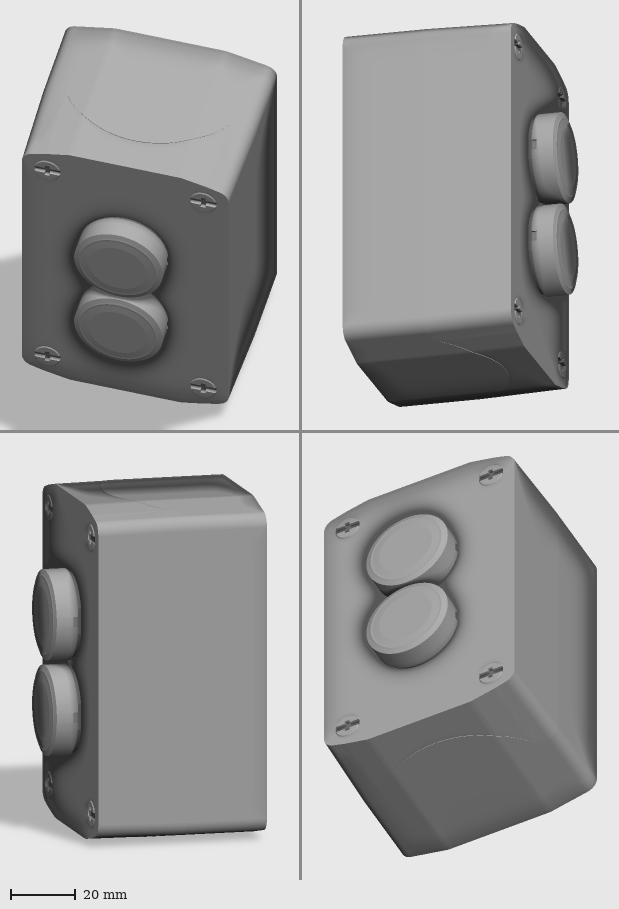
import cadquery as cq
import math


TOLERANCE = 0.01

HALF_WIDTH = 34.0
HALF_HEIGHT = 53.0
FLAT_HALF_WIDTH = 17.8
FACET_BREAK_X = 25.9
END_SLOPE = math.tan(math.radians(12.5))
CORNER_RADIUS = 4.2
BLEND_RADIUS = 7.4
SEAM_DEPTH = 26.0
FRONT_DEPTH = 53.8
SIDE_TAPER = 0.8
END_TAPER = 0.3

TONGUE_RADIUS = 30.0
TONGUE_TIP_DEPTH = 43.0
TONGUE_ROOT_RADIUS = 1.1

BUTTON_SPACING = 30.1
BUTTON_HEIGHTS = (-BUTTON_SPACING / 2, BUTTON_SPACING / 2)
COLLAR_RADIUS = 13.5
COLLAR_FLAT_X = 12.8
BEZEL_RADIUS = 14.2
BEZEL_BACK_DEPTH = 55.1
BEZEL_EDGE_DEPTH = 62.0
BEZEL_RIM_DEPTH = 62.5
NOTCH_WIDTH = 3.2
NOTCH_DEPTH = 1.6
NOTCH_RECESS = 0.8
CAP_RADIUS = 12.8
CAP_BACK_DEPTH = 59.4
CAP_SHOULDER_RADIUS = 12.4
CAP_SHOULDER_DEPTH = 62.8
CAP_DOME_RADIUS = 11.8
CAP_FLAT_RADIUS = 9.2
CAP_FRONT_DEPTH = 63.1

DIP_WIDTH = 5.1
DIP_DEPTH = 0.7
DIP_TILT = 10.0

SCREW_X = 25.0
SCREW_Z = 43.6
SCREW_CENTERS = [(x, z) for x in (-SCREW_X, SCREW_X) for z in (-SCREW_Z, SCREW_Z)]
SCREW_RADIUS = 4.2
SCREW_PROUD = 0.3
SCREW_SINK = 2.1
SCREW_SEAT_DEPTH = FRONT_DEPTH - SCREW_SINK
SLOT_WIDTH = 2.2
SLOT_DEPTH = 1.3
CROSS_LENGTH = 4.2
CROSS_WIDTH = 1.6


def face_plane(depth):
    """Workplane facing -Y, at the given distance in front of the back face."""
    return cq.Workplane("XZ", origin=(0, -depth, 0))


def disc(x, z, radius, back, front):
    """Round disc along Y between two depths."""
    return face_plane(back).center(x, z).circle(radius).extrude(front - back)


def enclosure_outline(depth, side_taper, end_taper):
    """Cross-section of the enclosure, drawn in by the given amounts."""
    corner_x = HALF_WIDTH - side_taper
    break_drop = (FACET_BREAK_X - FLAT_HALF_WIDTH) * END_SLOPE
    corner_drop = (corner_x - FLAT_HALF_WIDTH) * END_SLOPE
    flat_z = HALF_HEIGHT - end_taper
    break_z = flat_z - break_drop
    corner_z = HALF_HEIGHT - side_taper - corner_drop
    quarter = [(FLAT_HALF_WIDTH, flat_z), (FACET_BREAK_X, break_z), (corner_x, corner_z)]
    right = quarter + [(x, -z) for x, z in reversed(quarter)]
    left = [(-x, z) for x, z in reversed(right)]
    points = [cq.Vector(x, -depth, z) for x, z in right + left]
    wire = cq.Wire.makePolygon(points, close=True)

    def vertices_at(half_x):
        return [v for v in wire.Vertices() if abs(abs(v.X) - half_x) < TOLERANCE]

    wire = wire.fillet2D(CORNER_RADIUS, vertices_at(corner_x))
    return wire.fillet2D(BLEND_RADIUS, vertices_at(FLAT_HALF_WIDTH))


def cover_zone():
    """Block in front of the seam: everything in it belongs to the cover."""
    block = cq.Workplane("XY").box(3 * HALF_WIDTH, FRONT_DEPTH, 3 * HALF_HEIGHT)
    block = block.translate((0, -SEAM_DEPTH - FRONT_DEPTH / 2, 0))
    tongue_center_depth = TONGUE_TIP_DEPTH - TONGUE_RADIUS
    tongue = (
        cq.Workplane("XY").center(0, -tongue_center_depth)
        .circle(TONGUE_RADIUS).extrude(1.5 * HALF_HEIGHT, both=True)
    )
    zone = block.cut(tongue)

    def is_tongue_root(edge):
        middle = edge.Center()
        return abs(middle.x) < TONGUE_RADIUS and abs(middle.y + SEAM_DEPTH) < TOLERANCE

    return zone.edges("|Z").filter(is_tongue_root).fillet(TONGUE_ROOT_RADIUS)


def tapered_front():
    """Front of the enclosure, from the seam to the cover face, with its taper."""
    seam_outline = enclosure_outline(SEAM_DEPTH, 0, 0)
    front_outline = enclosure_outline(FRONT_DEPTH, SIDE_TAPER, END_TAPER)
    return cq.Workplane(cq.Solid.makeLoft([seam_outline, front_outline], True))


def make_base():
    back_outline = enclosure_outline(0, 0, 0)
    block = cq.Solid.extrudeLinear(back_outline, [], cq.Vector(0, -FRONT_DEPTH, 0))
    return cq.Workplane(block).cut(cover_zone())


def half_dip(side):
    """One half of the dip between the buttons; side is +1 above, -1 below."""
    radius = (DIP_WIDTH**2 / 4 + DIP_DEPTH**2) / (2 * DIP_DEPTH)
    length = BUTTON_SPACING / 2 - COLLAR_RADIUS
    axis_depth = FRONT_DEPTH - DIP_DEPTH + radius
    rod = cq.Workplane("XY").circle(radius).extrude(2 * length, both=True)
    rod = rod.rotate((0, 0, 0), (1, 0, 0), side * DIP_TILT)
    rod = rod.translate((0, -axis_depth, 0))
    keep = cq.Workplane("XY").box(4 * radius, 4 * FRONT_DEPTH, length)
    return rod.intersect(keep.translate((0, 0, side * length / 2)))


def make_cover():
    cover = tapered_front().intersect(cover_zone())
    for x, z in SCREW_CENTERS:
        cover = cover.cut(disc(x, z, SCREW_RADIUS, SCREW_SEAT_DEPTH, FRONT_DEPTH))
    for side in (-1, 1):
        cover = cover.cut(half_dip(side))
    return cover


def make_screw(x, z):
    """Screw head with a full-width slot and a short cross recess."""
    front = FRONT_DEPTH + SCREW_PROUD
    screw = disc(x, z, SCREW_RADIUS, SCREW_SEAT_DEPTH, front)
    screw = screw.faces("<Y").chamfer(SCREW_PROUD)
    floor = face_plane(front - SLOT_DEPTH).center(x, z)
    slot = floor.rect(2 * SCREW_RADIUS, SLOT_WIDTH).extrude(SLOT_DEPTH)
    cross = floor.rect(CROSS_WIDTH, CROSS_LENGTH).extrude(SLOT_DEPTH)
    return screw.cut(slot).cut(cross)


def revolve_about_button(profile, z):
    """Turn a (radius, depth) profile about the axis of the button at height z."""
    points = [(radius, -depth) for radius, depth in profile]
    turned = cq.Workplane("XY").polyline(points).close().revolve(360, (0, 0), (0, 1))
    return turned.translate((0, 0, z))


def make_cap(z):
    return revolve_about_button(
        [
            (0, CAP_BACK_DEPTH),
            (CAP_RADIUS, CAP_BACK_DEPTH),
            (CAP_RADIUS, BEZEL_RIM_DEPTH),
            (CAP_SHOULDER_RADIUS, CAP_SHOULDER_DEPTH),
            (CAP_DOME_RADIUS, CAP_SHOULDER_DEPTH),
            (CAP_FLAT_RADIUS, CAP_FRONT_DEPTH),
            (0, CAP_FRONT_DEPTH),
        ],
        z,
    )


def make_bezel(z):
    """Bezel on a flat-sided collar, with a recess for the cap."""
    ring = revolve_about_button(
        [
            (0, BEZEL_BACK_DEPTH),
            (BEZEL_RADIUS, BEZEL_BACK_DEPTH),
            (BEZEL_RADIUS, BEZEL_EDGE_DEPTH),
            (CAP_RADIUS, BEZEL_RIM_DEPTH),
            (CAP_RADIUS, CAP_BACK_DEPTH),
            (0, CAP_BACK_DEPTH),
        ],
        z,
    )
    notch_x = BEZEL_RADIUS - NOTCH_RECESS / 2
    notches = (
        face_plane(BEZEL_BACK_DEPTH)
        .pushPoints([(-notch_x, z), (notch_x, z)])
        .rect(NOTCH_RECESS, NOTCH_WIDTH).extrude(NOTCH_DEPTH)
    )
    collar = disc(0, z, COLLAR_RADIUS, FRONT_DEPTH, BEZEL_BACK_DEPTH)
    flats = face_plane(FRONT_DEPTH).center(0, z).rect(2 * COLLAR_FLAT_X, 2 * COLLAR_RADIUS)
    collar = collar.intersect(flats.extrude(BEZEL_BACK_DEPTH - FRONT_DEPTH))
    return ring.cut(notches).union(collar)


base = make_base()
cover = make_cover()
screws = [make_screw(x, z) for x, z in SCREW_CENTERS]
bezels = [make_bezel(z) for z in BUTTON_HEIGHTS]
caps = [make_cap(z) for z in BUTTON_HEIGHTS]

repeated = screws + bezels + caps
result = cq.Compound.makeCompound([base.val(), cover.val(), *[body.val() for body in repeated]])